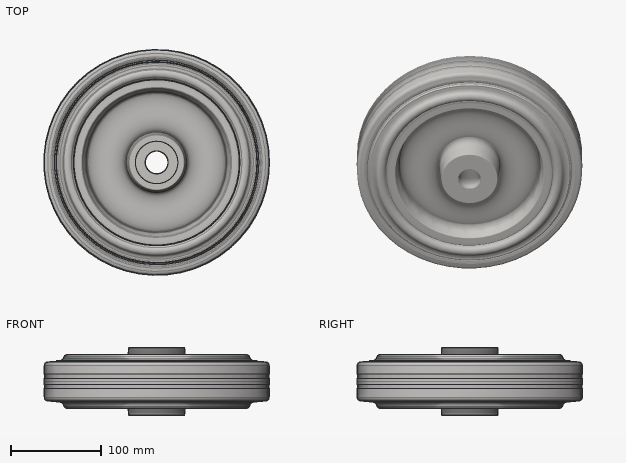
import cadquery as cq
import math


TYRE_RADIUS = 125.0
SEAT_RADIUS = 92.2

TREAD_DRAFT = math.radians(1.0)
CENTRE_RIB_Z = 3.5
TREAD_GROOVE_Z = 8.0
TREAD_GROOVE_DEPTH = 0.8
TREAD_EDGE_Z = 17.8

SHOULDER_INNER_RADIUS = 120.8
SHOULDER_Z = 21.5
SIDEWALL_INNER_RADIUS = 107.2
SIDEWALL_INNER_Z = 23.0

OUTER_RIDGE_RADIUS = 117.0
OUTER_RIDGE_Z = 22.0
OUTER_LEDGE_RADIUS = 115.5
OUTER_LEDGE_Z = 21.8
GROOVE_OUTER_RADIUS = 114.8
GROOVE_INNER_RADIUS = 111.8
GROOVE_EDGE_Z = 21.5
GROOVE_DEPTH = 1.0
INNER_RIDGE_RADIUS = 111.0
INNER_RIDGE_Z = 23.0
INNER_FOOT_RADIUS = 109.5
INNER_FOOT_Z = 22.8

BEAD_FOOT_RADIUS = 103.8
BEAD_FOOT_Z = 25.2
BEAD_OUTER_RADIUS = 102.8
BEAD_OUTER_Z = 27.5
BEAD_CREST_RADIUS = 98.2
BEAD_CREST_Z = 30.0
BEAD_INNER_RADIUS = 94.5
BEAD_INNER_Z = 28.2

RIM_Z = 25.0
RIM_CHAMFER = 0.8
RIM_MOUTH_RADIUS = 82.2
WEB_Z = 4.0
WEB_OUTER_RADIUS = 77.2
RIM_FILLET = 1.0
HUB_Z = 37.5
HUB_TOP_RADIUS = 31.0
HUB_BASE_RADIUS = 34.0
HUB_TOP_FILLET = 0.5
HUB_BASE_FILLET = 1.0

BORE_RADIUS = 12.5
BUSHING_RADIUS = 23.5
BUSHING_LENGTH = 7.5


def tread_radius(z):
    """Radius of the drafted tread at height z."""
    return TYRE_RADIUS - z * math.tan(TREAD_DRAFT)


def spin_and_mirror(upper_half):
    """Revolve a closed XZ outline of the upper half about Z and join its mirror image."""
    half = upper_half.revolve(360, (0, 0, 0), (0, 1, 0))
    return half.union(half.mirror("XY"), clean=False)


def make_tyre():
    tread_groove_radius = TYRE_RADIUS - TREAD_GROOVE_DEPTH
    groove_half_width = (GROOVE_OUTER_RADIUS - GROOVE_INNER_RADIUS) / 2
    groove_arc_radius = (groove_half_width**2 + GROOVE_DEPTH**2) / (2 * GROOVE_DEPTH)
    groove_bottom = (GROOVE_INNER_RADIUS + groove_half_width, GROOVE_EDGE_Z - GROOVE_DEPTH)
    tread = (
        cq.Workplane("XZ")
        .moveTo(SEAT_RADIUS, 0)
        .lineTo(TYRE_RADIUS, 0)
        .lineTo(tread_radius(CENTRE_RIB_Z), CENTRE_RIB_Z)
        .lineTo(tread_groove_radius, CENTRE_RIB_Z)
        .lineTo(tread_groove_radius, TREAD_GROOVE_Z)
        .lineTo(tread_radius(TREAD_GROOVE_Z), TREAD_GROOVE_Z)
        .lineTo(tread_radius(TREAD_EDGE_Z), TREAD_EDGE_Z)
    )
    sidewall = (
        tread.tangentArcPoint((SHOULDER_INNER_RADIUS, SHOULDER_Z), relative=False)
        .lineTo(OUTER_RIDGE_RADIUS, OUTER_RIDGE_Z)
        .lineTo(OUTER_LEDGE_RADIUS, OUTER_LEDGE_Z)
        .lineTo(GROOVE_OUTER_RADIUS, GROOVE_EDGE_Z)
        .radiusArc(groove_bottom, -groove_arc_radius)
        .radiusArc((GROOVE_INNER_RADIUS, GROOVE_EDGE_Z), -groove_arc_radius)
        .lineTo(INNER_RIDGE_RADIUS, INNER_RIDGE_Z)
        .lineTo(INNER_FOOT_RADIUS, INNER_FOOT_Z)
        .lineTo(SIDEWALL_INNER_RADIUS, SIDEWALL_INNER_Z)
    )
    bead = (
        sidewall.tangentArcPoint((BEAD_FOOT_RADIUS, BEAD_FOOT_Z), relative=False)
        .lineTo(BEAD_OUTER_RADIUS, BEAD_OUTER_Z)
        .threePointArc((BEAD_CREST_RADIUS, BEAD_CREST_Z), (BEAD_INNER_RADIUS, BEAD_INNER_Z))
        .lineTo(SEAT_RADIUS, RIM_Z)
    )
    return spin_and_mirror(bead.close())


def circle_edges(body, radius, z):
    """The full-circle edges of a body at a given radius, at heights z and -z."""
    tolerance = 0.02

    def matches(edge):
        if edge.geomType() != "CIRCLE":
            return False
        height = abs(edge.Center().z)
        return abs(edge.radius() - radius) < tolerance and abs(height - z) < tolerance

    return body.newObject([edge for edge in body.edges().vals() if matches(edge)])


def make_rim():
    outline = (
        cq.Workplane("XZ")
        .moveTo(BORE_RADIUS, 0)
        .lineTo(SEAT_RADIUS, 0)
        .lineTo(SEAT_RADIUS, RIM_Z - RIM_CHAMFER)
        .lineTo(SEAT_RADIUS - RIM_CHAMFER, RIM_Z)
        .lineTo(RIM_MOUTH_RADIUS, RIM_Z)
        .lineTo(WEB_OUTER_RADIUS, WEB_Z)
        .lineTo(HUB_BASE_RADIUS, WEB_Z)
        .lineTo(HUB_TOP_RADIUS, HUB_Z)
        .lineTo(BUSHING_RADIUS, HUB_Z)
        .lineTo(BUSHING_RADIUS, HUB_Z - BUSHING_LENGTH)
        .lineTo(BORE_RADIUS, HUB_Z - BUSHING_LENGTH)
    )
    rim = spin_and_mirror(outline.close()).clean()
    rim = circle_edges(rim, RIM_MOUTH_RADIUS, RIM_Z).fillet(RIM_FILLET)
    rim = circle_edges(rim, WEB_OUTER_RADIUS, WEB_Z).fillet(RIM_FILLET)
    rim = circle_edges(rim, HUB_BASE_RADIUS, WEB_Z).fillet(HUB_BASE_FILLET)
    return circle_edges(rim, HUB_TOP_RADIUS, HUB_Z).fillet(HUB_TOP_FILLET)


def make_bushing(bottom_z):
    return (
        cq.Workplane("XY", origin=(0, 0, bottom_z))
        .circle(BUSHING_RADIUS)
        .circle(BORE_RADIUS)
        .extrude(BUSHING_LENGTH)
    )


tyre = make_tyre()
rim = make_rim()
bushings = [make_bushing(bottom_z) for bottom_z in (HUB_Z - BUSHING_LENGTH, -HUB_Z)]

result = cq.Compound.makeCompound(
    [tyre.solids().val(), rim.solids().val(), *[bushing.val() for bushing in bushings]]
)